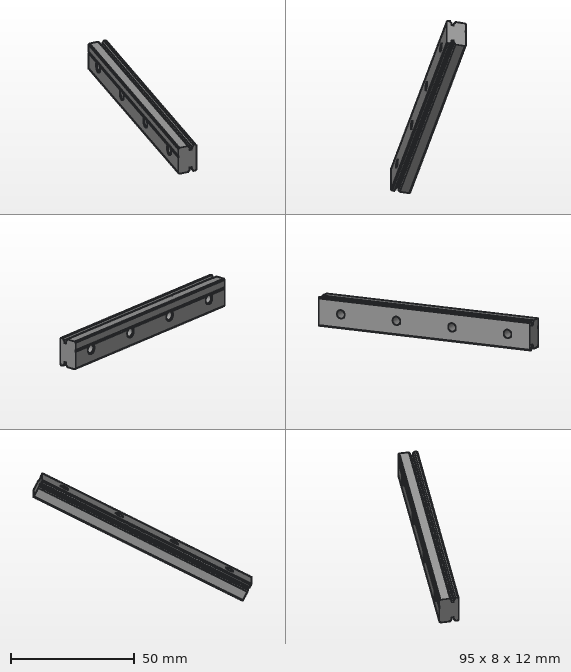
import math

import cadquery as cq

length = 95.0
depth = 8.0
height = 12.0
corner_chamfer = 0.5

slot_y = 1.5
slot_mouth_width = 2.3
slot_neck_width = 1.1
slot_floor_width = 0.9
slot_depth = 2.0
flank_depth = 0.8
flank_sag = 0.1

mark_width = 0.8
mark_depth = 0.2
mark_z = 2.0

hole_count = 4
hole_pitch = 25.0
hole_diameter = 3.5
hole_mouth_diameter = 4.3

front_y = -depth / 2
hole_start_x = (length - hole_pitch * (hole_count - 1)) / 2


def make_body():
    block = cq.Workplane("XY").box(length, depth, height, centered=(False, True, True))
    return block.edges("|X").chamfer(corner_chamfer)


def make_top_slot():
    """Slot open at the top, symmetric in Y: hollow flanks above two slightly leaning walls."""
    mouth = slot_mouth_width / 2
    neck = slot_neck_width / 2
    floor = slot_floor_width / 2
    chord = math.hypot(mouth - neck, flank_depth)
    flank_mid_y = (mouth + neck) / 2 + flank_sag * flank_depth / chord
    flank_mid_z = -flank_depth / 2 - flank_sag * (mouth - neck) / chord
    return (
        cq.Workplane("YZ")
        .center(slot_y, height / 2)
        .moveTo(-mouth, 0)
        .threePointArc((-flank_mid_y, flank_mid_z), (-neck, -flank_depth))
        .lineTo(-floor, -slot_depth)
        .lineTo(floor, -slot_depth)
        .lineTo(neck, -flank_depth)
        .threePointArc((flank_mid_y, flank_mid_z), (mouth, 0))
        .close()
        .extrude(length)
    )


def make_mark_groove():
    radius = (mark_width**2 / 4 + mark_depth**2) / (2 * mark_depth)
    center_y = front_y + mark_depth - radius
    return cq.Workplane("YZ").center(center_y, mark_z).circle(radius).extrude(length)


def make_hole(x):
    """Through hole with a 45 degree countersink at the front face."""
    hole_radius = hole_diameter / 2
    mouth_radius = hole_mouth_diameter / 2
    sink_depth = mouth_radius - hole_radius
    start = cq.Vector(x, front_y, 0)
    along_y = cq.Vector(0, 1, 0)
    bore = cq.Solid.makeCylinder(hole_radius, depth, start, along_y)
    sink = cq.Solid.makeCone(mouth_radius, hole_radius, sink_depth, start, along_y)
    return bore.fuse(sink)


top_slot = make_top_slot()
bottom_slot = top_slot.mirror("XY")

result = make_body().cut(top_slot).cut(bottom_slot).cut(make_mark_groove())
for index in range(hole_count):
    result = result.cut(cq.Workplane(make_hole(hole_start_x + index * hole_pitch)))